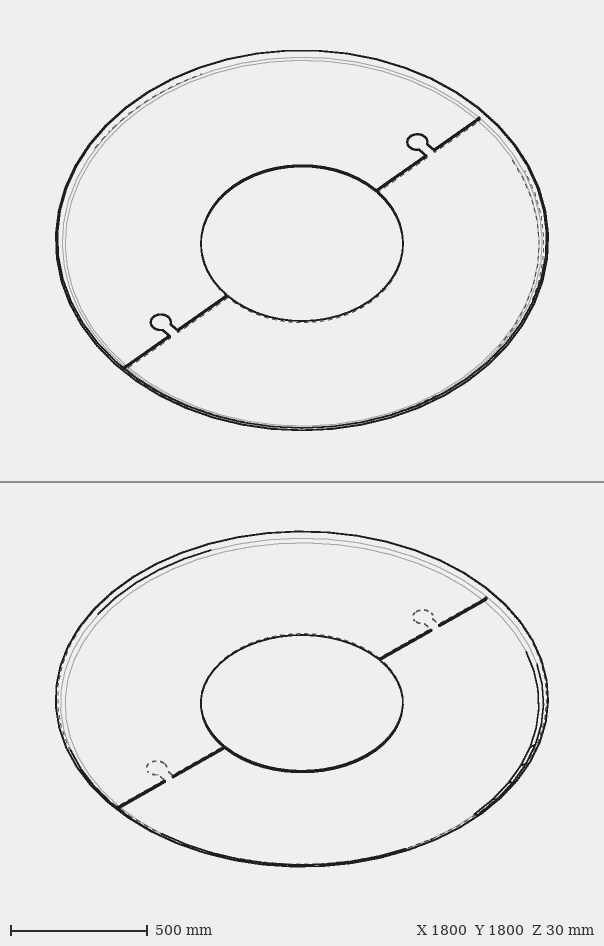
import cadquery as cq
import math

outer_radius = 900.0
hole_radius = 369.0
sheet = 9.0
height = 30.0

flare_angle = math.radians(45)
inner_bend_radius = 15.3
outer_bend_radius = inner_bend_radius + sheet

seam_width = 5.0
key_distance = 634.0
key_head_offset = 70.0
key_head_radius = 36.0
key_neck_width = 38.0
key_groove_width = 2.0
key_groove_depth = 2.0

lip_top = (outer_radius - sheet * math.sin(flare_angle), height)
lip_outer = (outer_radius, height - sheet * math.cos(flare_angle))
bend_center_z = outer_bend_radius
inner_bend_end_z = bend_center_z - inner_bend_radius * math.cos(flare_angle)
inner_bend_end_radius = lip_top[0] - (height - inner_bend_end_z) / math.tan(flare_angle)
bend_start = inner_bend_end_radius - inner_bend_radius * math.sin(flare_angle)


def bend_point(radius, angle):
    """Point on a bend arc, at an angle measured from straight down."""
    return (bend_start + radius * math.sin(angle), bend_center_z - radius * math.cos(angle))


def make_disc():
    """Flat ring with the flared rim, revolved about Z."""
    section = (
        cq.Workplane("XZ")
        .moveTo(hole_radius, 0)
        .lineTo(bend_start, 0)
        .threePointArc(
            bend_point(outer_bend_radius, flare_angle / 2),
            bend_point(outer_bend_radius, flare_angle),
        )
        .lineTo(*lip_outer)
        .lineTo(*lip_top)
        .lineTo(*bend_point(inner_bend_radius, flare_angle))
        .threePointArc(
            bend_point(inner_bend_radius, flare_angle / 2),
            (bend_start, sheet),
        )
        .lineTo(hole_radius, sheet)
        .close()
    )
    return section.revolve(360, (0, 0, 0), (0, 1, 0))


def make_key(y, depth, offset=0.0):
    """Round-headed key pointing to -X, cut down from the sheet's top; offset grows its outline."""
    neck_length = key_head_offset + seam_width / 2
    base = cq.Workplane("XY").workplane(offset=sheet - depth)
    head = base.center(-key_head_offset, y).circle(key_head_radius + offset).extrude(depth)
    neck = (
        base.center(seam_width / 2 - neck_length / 2, y)
        .rect(neck_length, key_neck_width + 2 * offset)
        .extrude(depth)
    )
    return head.union(neck)


def make_seam(side):
    """Through gap on one side (+1 or -1 along Y), interrupted by the key's neck."""
    length = inner_bend_end_radius - hole_radius / 2
    middle = side * (inner_bend_end_radius + hole_radius / 2) / 2
    gap = cq.Workplane("XY").center(0, middle).rect(seam_width, length).extrude(height)
    return gap.cut(make_key(side * key_distance, sheet))


def make_key_groove(side):
    """Shallow groove around the key; the sheet below it joins the two halves."""
    y = side * key_distance
    return make_key(y, key_groove_depth, key_groove_width).cut(make_key(y, key_groove_depth))


result = make_disc()
for side in (1, -1):
    result = result.cut(make_seam(side)).cut(make_key_groove(side))